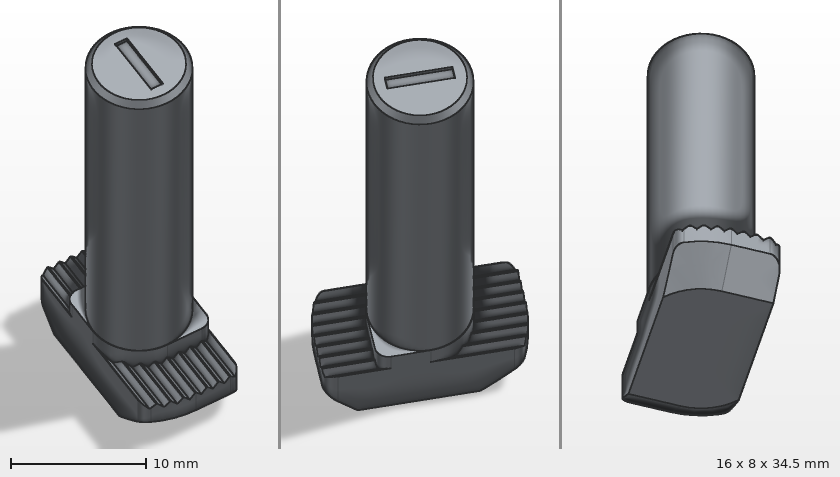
import cadquery as cq

bolt_length = 34.5
head_length = 16.0
head_width = 8.0
head_height = 4.55
neck_top = 6.0
corner_radius = 1.0

taper_height = 2.52

shank_radius = 3.97
tip_chamfer = 0.5
slot_length = 5.1
slot_width = 1.05
slot_depth = 0.3

tooth_pitch = 1.0
tooth_depth = 0.5
tooth_count = 8
crest_width = 0.1

half_length = head_length / 2
half_width = head_width / 2
foot_half_length = half_length - taper_height


def for_both_quadrants(quadrant):
    """Join a shape with its copy turned half a turn about the bolt axis."""
    turned = quadrant.rotate((0, 0, 0), (0, 0, 1), 180)
    return quadrant.union(turned)


def quadrant_box(x_sign, length, width, height):
    """Box filling the -Y plan quadrant on the given X side, from the bolt axis outwards."""
    center = (x_sign * length / 2, -width / 2)
    return cq.Workplane("XY").center(*center).rect(length, width).extrude(height)


def half_turn_block(radius, height):
    """Block with two square quadrants and two quadrants bounded by a radius, corners rounded."""
    square = quadrant_box(-1, radius, half_width, height)
    disc = cq.Workplane("XY").circle(radius).extrude(height)
    rounded = disc.intersect(quadrant_box(1, radius, half_width, height))
    block = for_both_quadrants(square.union(rounded)).clean()
    tolerance = 0.005
    side_edges = block.edges("|Z").filter(lambda edge: abs(edge.Center().y) > half_width - tolerance)
    corners = side_edges.filter(lambda edge: abs(edge.Center().x) > tolerance)
    return corners.fillet(corner_radius)


def taper_profile():
    """Half outline of the head, from the bolt axis to its +X end."""
    return (
        cq.Workplane("XZ")
        .lineTo(foot_half_length, 0)
        .lineTo(half_length, taper_height)
        .lineTo(half_length, head_height)
        .lineTo(0, head_height)
        .close()
    )


def taper_envelope():
    """Envelope tapering straight under the square quadrants and conically under the rounded ones."""
    cone = taper_profile().revolve(360, (0, 0, 0), (0, 1, 0))
    rounded = cone.intersect(quadrant_box(1, half_length, half_width, head_height))
    straight = taper_profile().extrude(-half_width)
    return for_both_quadrants(rounded.union(straight))


def serrations():
    """V-grooves running along the head, evenly spaced across its width."""
    half_opening = (tooth_pitch - crest_width) / 2
    grooves = cq.Workplane("YZ")
    for index in range(tooth_count):
        valley_y = (index - (tooth_count - 1) / 2) * tooth_pitch
        groove = (
            cq.Workplane("YZ")
            .moveTo(valley_y - half_opening, head_height)
            .lineTo(valley_y, head_height - tooth_depth)
            .lineTo(valley_y + half_opening, head_height)
            .close()
            .extrude(half_length, both=True)
        )
        grooves = grooves.add(groove)
    return grooves.combine()


head = half_turn_block(half_length, head_height).intersect(taper_envelope()).cut(serrations())

neck_base = taper_height
neck_height = neck_top - neck_base
neck = half_turn_block(half_width, neck_height).translate((0, 0, neck_base))

shank = (
    cq.Workplane("XY")
    .workplane(offset=neck_base)
    .circle(shank_radius)
    .extrude(bolt_length - neck_base)
    .faces(">Z")
    .chamfer(tip_chamfer)
)
slot = (
    cq.Workplane("XY")
    .workplane(offset=bolt_length - slot_depth)
    .rect(slot_length, slot_width)
    .extrude(slot_depth)
)

result = head.union(neck).union(shank).cut(slot)